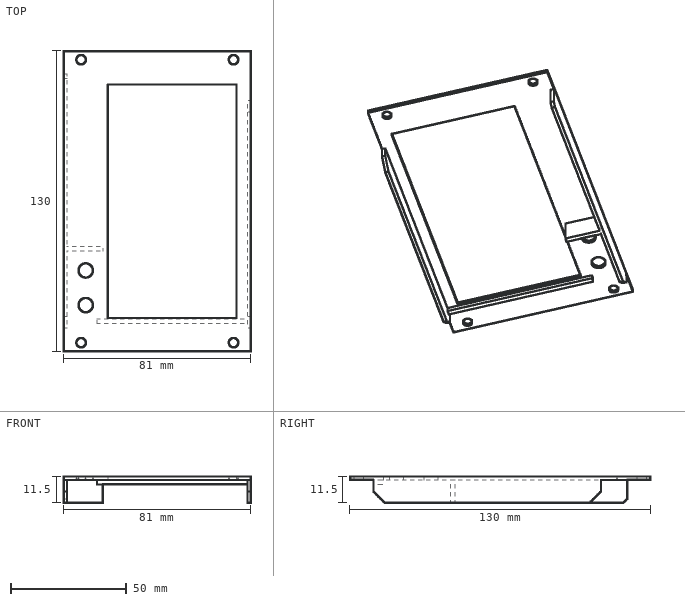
import cadquery as cq

plate_width = 81.04
plate_length = 130.0
plate_thickness = 1.5
half_width = plate_width / 2
half_length = plate_length / 2

window_width = 55.6
window_length = 101.0
window_right_margin = 6.3
window_x = half_width - window_right_margin - window_width / 2

mount_hole_diameter = 4.0
mount_hole_pitch_x = 66.0
mount_hole_pitch_y = 122.5

control_hole_diameter = 6.1
control_hole_x = -31.0
control_hole_ys = (-30.0, -45.0)

wall_thickness = 1.5
wall_height = 10.0
wall_end_margin = 10.0
wall_end_y = half_length - wall_end_margin
right_wall_rear_y = 43.6
wall_chamfer = 5.0
left_wall_rear_chamfer = 1.8

rib_reach = 15.5
rib_thickness = 2.0
rib_front_y = -21.6

bar_length = 65.2
bar_width = 2.0
bar_height = 2.0
bar_setback = 2.0


def hanging_block(x_min, y_min, size_x, size_y, height):
    """Box hanging from the plate underside."""
    block = cq.Workplane("XY").box(size_x, size_y, height, centered=False)
    return block.translate((x_min, y_min, -height))


def make_plate():
    plate = cq.Workplane("XY").rect(plate_width, plate_length).extrude(plate_thickness)
    window = (
        cq.Workplane("XY")
        .center(window_x, 0)
        .rect(window_width, window_length)
        .extrude(plate_thickness)
    )
    mount_holes = (
        cq.Workplane("XY")
        .rect(mount_hole_pitch_x, mount_hole_pitch_y, forConstruction=True)
        .vertices()
        .circle(mount_hole_diameter / 2)
        .extrude(plate_thickness)
    )
    control_holes = (
        cq.Workplane("XY")
        .pushPoints([(control_hole_x, y) for y in control_hole_ys])
        .circle(control_hole_diameter / 2)
        .extrude(plate_thickness)
    )
    return plate.cut(window).cut(mount_holes).cut(control_holes)


def make_wall(x_min, rear_y, rear_chamfer):
    """Side wall with its lower front and rear corners cut at 45 degrees."""
    outline = [
        (-wall_end_y, 0),
        (-wall_end_y, -wall_height + wall_chamfer),
        (-wall_end_y + wall_chamfer, -wall_height),
        (rear_y - rear_chamfer, -wall_height),
        (rear_y, -wall_height + rear_chamfer),
        (rear_y, 0),
    ]
    side_plane = cq.Workplane("YZ", origin=(x_min, 0, 0))
    return side_plane.polyline(outline).close().extrude(wall_thickness)


def make_rib():
    return hanging_block(-half_width + wall_thickness, rib_front_y, rib_reach, rib_thickness, wall_height)


def make_bar():
    bar_x = half_width - wall_thickness - bar_length
    return hanging_block(bar_x, -wall_end_y + bar_setback, bar_length, bar_width, bar_height)


left_wall = make_wall(-half_width, wall_end_y, left_wall_rear_chamfer)
right_wall = make_wall(half_width - wall_thickness, right_wall_rear_y, wall_chamfer)

result = make_plate().union(left_wall).union(right_wall).union(make_rib()).union(make_bar())